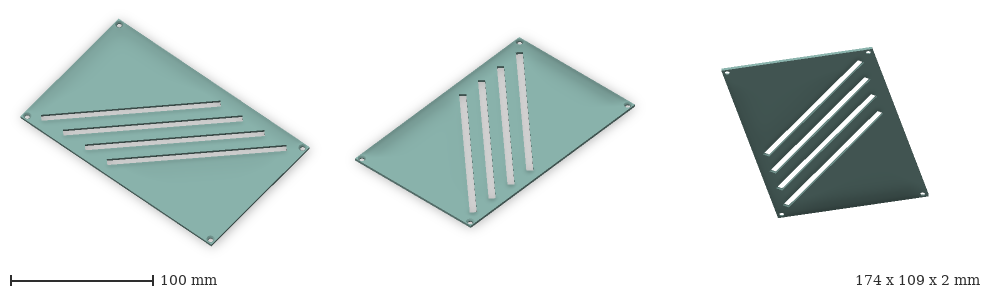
import cadquery as cq

length = 174.0
width = 109.0
thickness = 2.0

hole_diameter = 3.5
head_diameter = 6.0
countersink_angle = 90.0
hole_inset = 3.5

slot_count = 4
slot_length = 127.0
slot_width = 5.0
slot_pitch = 20.0
slot_angle = 45.0
slot_row_y = -1.2


def make_plate():
    return cq.Workplane("XY").box(length, width, thickness, centered=(True, True, False))


def drill_corner_holes(plate):
    return (
        plate.faces(">Z")
        .workplane(origin=(0, 0, thickness))
        .rect(length - 2 * hole_inset, width - 2 * hole_inset, forConstruction=True)
        .vertices()
        .cskHole(hole_diameter, head_diameter, countersink_angle)
    )


def cut_diagonal_slots(plate):
    first_x = -slot_pitch * (slot_count - 1) / 2
    centers = [(first_x + i * slot_pitch, slot_row_y) for i in range(slot_count)]
    slots = (
        cq.Workplane("XY")
        .pushPoints(centers)
        .sketch()
        .rect(slot_length, slot_width, angle=slot_angle)
        .finalize()
        .extrude(thickness)
    )
    return plate.cut(slots)


result = cut_diagonal_slots(drill_corner_holes(make_plate()))